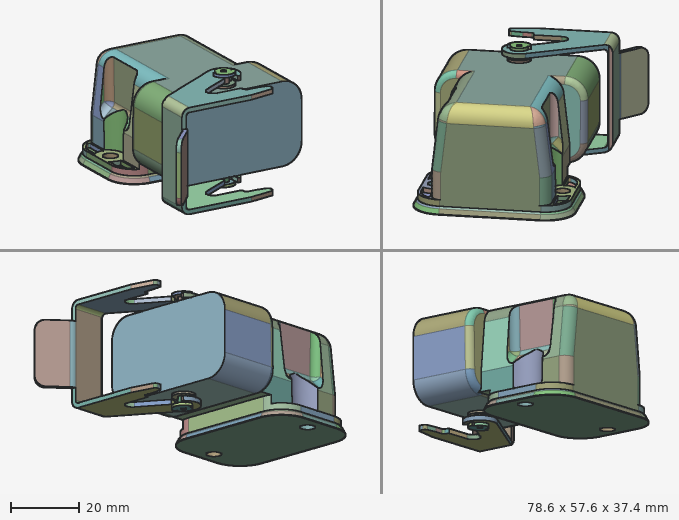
import cadquery as cq
import math


overall_length = 78.6
overall_height = 37.4

flange_length = 32.5
flange_width = 48.35
flange_corner_radius = 9.05
flange_foot_height = 0.2
flange_shoulder_height = 1.7
flange_taper_inset = 0.8
plate_length = 29.9
plate_width = 45.75
plate_corner_radius = 7.8
plate_bottom = 2.3
plate_top = 4.25

body_half_width = 17.85
body_top = 33.1
body_kink_height = 13.05
body_side_lean = math.radians(6.7)
body_corner_radius = 3.1
body_top_radius = 5.0
neck_bottom = 6.9

hood_width = 45.75
hood_bottom = 6.5
hood_corner_radius = 6.7
hood_end = 39.5
hood_back_bottom = 17.6
hood_back_top = 18.1
hood_back_radius = 2.0
neck_overlap = 5.5
neck_end = hood_back_top + neck_overlap

screw_offset = 18.95
screw_hole_radius = 2.3
relief_offset = 20.3
relief_radius = 5.9
relief_draft = math.radians(1.3)
relief_height = 15.7
recess_depth_y = 14.0
recess_half_width_top = 8.65
recess_half_width_bottom = 8.1
recess_back_bottom = 17.3
recess_floor_slope = math.radians(43.0)
recess_radius = 2.2
recess_clearance = 0.8
rim_pocket_inset = 0.95
rim_pocket_inner_y = 18.4
rim_pocket_depth = 1.5
rim_pocket_tip_radius = 0.4
screw_boss_radius = 5.0

pivot_x = 32.9
pivot_large_radius = 3.5
pivot_small_radius = 2.7
pivot_neck_radius = 1.7
washer_height = 0.7
head_height = 0.95
pivot_dimple_radius = 0.8
pivot_dimple_depth = 0.4
mid_height = (body_top + hood_bottom) / 2

lever_thickness = 1.5
lever_half_height = overall_height - head_height - mid_height
lever_bend_radius = 2.6
lever_inner_bend_radius = lever_bend_radius - lever_thickness
lever_front_y = -26.3
lever_left_x = 41.6
lever_right_x = 52.9
arm_angle = math.radians(60.0)
arm_eye_radius = 5.1
arm_inner_offset = 2.2
hook_end_offset = 3.8
eye_slot_top = 2.6
eye_slot_bottom = -1.7
throat_right_x = 46.3
throat_radius = 2.3
notch_y = -2.0
finger_base_y = -1.5
finger_base_x = 48.3
finger_side_y = 1.8
finger_tip_y = 6.1
finger_tip_left = 48.7
finger_tip_right = 51.4
finger_shoulder_y = -2.5
finger_tip_radius = 1.0
finger_base_radius = 0.8

tab_angle = math.radians(41.5)
tab_end_x = overall_length - flange_length / 2
tab_height = 20.5
tab_corner_radius = 3.15
tab_bend_reach = lever_bend_radius * math.sin(tab_angle)
tab_length = (tab_end_x - lever_right_x - tab_bend_reach) / math.cos(tab_angle)


def rounded_block(length, width, radius, bottom, top):
    """Upright block, centred on the Z axis, with rounded vertical edges."""
    block = cq.Workplane("XY").workplane(offset=bottom).rect(length, width).extrude(top - bottom)
    return block.edges("|Z").fillet(radius)


def make_flange():
    """Flange with a sloping rim and shoulder, carrying the narrower plate."""
    foot = rounded_block(flange_length, flange_width, flange_corner_radius, 0, flange_foot_height)
    taper_height = flange_shoulder_height - flange_foot_height
    taper = foot.faces(">Z").wires().toPending().extrude(
        taper_height, combine=False, taper=math.degrees(math.atan(flange_taper_inset / taper_height))
    )
    shoulder_inset = (flange_length - plate_length) / 2 - flange_taper_inset
    shoulder_height = plate_bottom - flange_shoulder_height
    shoulder = taper.faces(">Z").wires().toPending().extrude(
        shoulder_height, combine=False, taper=math.degrees(math.atan(shoulder_inset / shoulder_height))
    )
    plate = rounded_block(plate_length, plate_width, plate_corner_radius, plate_bottom, plate_top)
    return foot.union(taper).union(shoulder).union(plate)


def make_body():
    """Body with leaning sides; its foot follows the plate outline, its neck runs into the hood."""
    top_half_width = body_half_width - (body_top - body_kink_height) * math.tan(body_side_lean)
    section = [
        (-body_half_width, plate_bottom),
        (body_half_width, plate_bottom),
        (body_half_width, body_kink_height),
        (top_half_width, body_top),
        (-top_half_width, body_top),
        (-body_half_width, body_kink_height),
    ]
    back_x = -plate_length / 2
    body = cq.Workplane("YZ").workplane(offset=back_x).polyline(section).close().extrude(neck_end - back_x)
    body = body.faces(">Z").edges("not >X").fillet(body_top_radius)
    body = body.faces("<X").edges("not |Y").fillet(body_corner_radius)
    plate_column = rounded_block(plate_length, plate_width, plate_corner_radius, plate_bottom, neck_bottom)
    above_neck = cq.Workplane("XY").box(
        4 * plate_length, 2 * plate_width, body_top, centered=(True, True, False)
    ).translate((0, 0, neck_bottom))
    return body.intersect(plate_column.union(above_neck))


def make_hood():
    """Rounded hood whose back face leans slightly, with a rounded back rim."""
    side = [
        (hood_back_bottom, hood_bottom),
        (hood_end, hood_bottom),
        (hood_end, body_top),
        (hood_back_top, body_top),
    ]
    hood = cq.Workplane("XZ").polyline(side).close().extrude(hood_width / 2, both=True)
    hood = hood.edges("(|X) and (>Y or <Y)").fillet(hood_corner_radius)
    return hood.faces("<X").edges().fillet(hood_back_radius)


def make_recess():
    """Cutter for the -Y side: upright back wall, floor sloping down outwards, rounded inner edges."""
    outer_y = -plate_width / 2
    floor_end = recess_back_bottom - (-outer_y - recess_depth_y) * math.tan(recess_floor_slope)
    cutter_top = body_top + recess_clearance
    front = [
        (-recess_half_width_bottom, floor_end),
        (recess_half_width_bottom, floor_end),
        (recess_half_width_top, cutter_top),
        (-recess_half_width_top, cutter_top),
    ]
    side = [
        (outer_y, floor_end),
        (-recess_depth_y, recess_back_bottom),
        (-recess_depth_y, cutter_top),
        (outer_y, cutter_top),
    ]
    block = cq.Workplane("XZ").polyline(front).close().extrude(-outer_y)
    profile = cq.Workplane("YZ").polyline(side).close().extrude(plate_length / 2, both=True)
    cutter = block.intersect(profile)
    return cutter.edges("not (<Y or >Z)").fillet(recess_radius)


def make_relief():
    """Slightly widening round cutter that clears the screw head above the plate."""
    top_radius = relief_radius + relief_height * math.tan(relief_draft)
    return (
        cq.Workplane("XY", origin=(0, -relief_offset, plate_top))
        .circle(relief_radius)
        .workplane(offset=relief_height)
        .circle(top_radius)
        .loft()
    )


def make_rim_pockets():
    """Pair of shallow pockets in the plate, one each side of the screw boss."""
    floor = plate_top - rim_pocket_depth
    length = plate_length - 2 * rim_pocket_inset
    width = plate_width - 2 * rim_pocket_inset
    inside = rounded_block(length, width, plate_corner_radius - rim_pocket_inset, floor, plate_top)
    strip = cq.Workplane("XY").box(length, width, plate_top, centered=(True, False, False))
    pockets = inside.intersect(strip.translate((0, -rim_pocket_inner_y - width, floor)))
    boss = cq.Workplane("XY", origin=(0, -screw_offset, 0)).circle(screw_boss_radius).extrude(plate_top)
    return pockets.cut(boss).edges("|Z and (<X or >X)").fillet(rim_pocket_tip_radius)


def make_screw_side():
    """Everything removed around the -Y mounting screw."""
    hole = cq.Workplane("XY", origin=(0, -screw_offset, 0)).circle(screw_hole_radius).extrude(plate_top)
    return [make_recess(), make_relief(), make_rim_pockets(), hole]


def stepped_disc(back_radius, front_radius, bottom, height):
    """Disc on the pivot axis: one radius on its -X half, another on its +X half."""
    plane = cq.Workplane("XY", origin=(pivot_x, 0, bottom))
    if back_radius == front_radius:
        return plane.circle(back_radius).extrude(height)
    return (
        plane
        .moveTo(0, back_radius)
        .threePointArc((-back_radius, 0), (0, -back_radius))
        .lineTo(0, -front_radius)
        .threePointArc((front_radius, 0), (0, front_radius))
        .close()
        .extrude(height)
    )


def make_pivot():
    """Pivot on top of the hood: washer, shaft and keyed head with a centre dimple."""
    washer_top = body_top + washer_height
    head_bottom = overall_height - head_height
    washer = stepped_disc(pivot_large_radius, pivot_large_radius, body_top, washer_height)
    shaft = stepped_disc(pivot_small_radius, pivot_neck_radius, washer_top, head_bottom - washer_top)
    head = stepped_disc(pivot_small_radius, pivot_large_radius, head_bottom, head_height)
    dimple = (
        cq.Workplane("XY", origin=(pivot_x, 0, overall_height))
        .circle(pivot_dimple_radius)
        .extrude(-pivot_dimple_depth)
    )
    return washer.union(shaft).union(head).cut(dimple)


def make_lever_outline():
    """Solid of the full lever height, cut to the outline of its arms."""
    normal_x = math.sin(arm_angle)
    normal_y = math.cos(arm_angle)

    def arm_edge_y(x, offset):
        """Y on the arm edge lying at the given distance from the pivot."""
        return (offset - (x - pivot_x) * normal_x) / normal_y

    tangent_point = (pivot_x - arm_eye_radius * normal_x, -arm_eye_radius * normal_y)
    hook_end_x = pivot_x + hook_end_offset
    hook_end_y = math.sqrt(arm_eye_radius**2 - hook_end_offset**2)
    slot_mouth_x = pivot_x + (arm_inner_offset - eye_slot_bottom * normal_y) / normal_x
    throat_point = (throat_right_x, arm_edge_y(throat_right_x, arm_inner_offset))

    lever = (
        cq.Workplane("XY", origin=(0, 0, mid_height))
        .moveTo(lever_left_x, lever_front_y)
        .lineTo(lever_left_x, arm_edge_y(lever_left_x, -arm_eye_radius))
        .lineTo(*tangent_point)
        .threePointArc((pivot_x, arm_eye_radius), (hook_end_x, hook_end_y))
        .lineTo(hook_end_x, eye_slot_top)
        .lineTo(pivot_x, eye_slot_top)
        .lineTo(pivot_x, eye_slot_bottom)
        .lineTo(slot_mouth_x, eye_slot_bottom)
        .lineTo(*throat_point)
        .lineTo(throat_right_x, notch_y)
        .lineTo(finger_base_x, finger_base_y)
        .lineTo(finger_base_x, finger_side_y)
        .lineTo(finger_tip_left, finger_tip_y)
        .lineTo(finger_tip_right, finger_tip_y)
        .lineTo(lever_right_x, finger_shoulder_y)
        .lineTo(lever_right_x, lever_front_y)
        .close()
        .extrude(lever_half_height, both=True)
    )

    def corner(x, y):
        """Selector for the upright edge at the given outline corner."""
        return cq.selectors.NearestToPointSelector((x, y, mid_height))

    lever = lever.edges(corner(*throat_point)).fillet(throat_radius)
    lever = lever.edges(corner(finger_base_x, finger_base_y)).fillet(finger_base_radius)
    lever = lever.edges(corner(finger_tip_left, finger_tip_y)).fillet(finger_tip_radius)
    lever = lever.edges(corner(finger_tip_right, finger_tip_y)).fillet(finger_tip_radius)
    eye = cq.Workplane("XY", origin=(pivot_x, 0, mid_height)).circle(pivot_small_radius)
    return lever.cut(eye.extrude(lever_half_height, both=True))


def make_lever_bend():
    """U-shaped sheet open towards +Y that gives the lever its two arms and joining web."""

    def u_block(inset):
        """Block from the web inwards, shrunk by the inset on its web and arm sides."""
        block = cq.Workplane("XY").box(
            2 * lever_right_x, plate_width, 2 * (lever_half_height - inset), centered=(True, False, True)
        )
        block = block.edges("|X and <Y").fillet(lever_bend_radius - inset)
        return block.translate((0, lever_front_y + inset, mid_height))

    return u_block(0).cut(u_block(lever_thickness))


def make_tab():
    """Thumb tab bent outwards from the web, with rounded free corners."""
    sin_bend = math.sin(tab_angle)
    cos_bend = math.cos(tab_angle)
    bend_centre_y = lever_front_y - lever_inner_bend_radius

    def tab_point(radius, angle, along):
        """Point on the bend at the given radius and angle, moved along the straight tab."""
        x = lever_right_x + radius * math.sin(angle) + along * cos_bend
        return (x, bend_centre_y + radius * math.cos(angle) - along * sin_bend)

    def bend_arc(radius):
        """Start, middle and end points of one side of the bend."""
        return [tab_point(radius, angle, 0) for angle in (0, tab_angle / 2, tab_angle)]

    upper_start, upper_middle, upper_end = bend_arc(lever_bend_radius)
    lower_start, lower_middle, lower_end = bend_arc(lever_inner_bend_radius)
    tab = (
        cq.Workplane("XY", origin=(0, 0, mid_height))
        .moveTo(*upper_start)
        .threePointArc(upper_middle, upper_end)
        .lineTo(*tab_point(lever_bend_radius, tab_angle, tab_length))
        .lineTo(*tab_point(lever_inner_bend_radius, tab_angle, tab_length))
        .lineTo(*lower_end)
        .threePointArc(lower_middle, lower_start)
        .close()
        .extrude(tab_height / 2, both=True)
    )
    end_direction = cq.Vector(cos_bend, -sin_bend, 0)
    end_face = tab.faces(cq.selectors.DirectionMinMaxSelector(end_direction))
    return end_face.edges("not |Z").fillet(tab_corner_radius)


housing = make_flange().union(make_body()).union(make_hood())
for cutter in make_screw_side():
    housing = housing.cut(cutter).cut(cutter.mirror("XZ"))

pivot = make_pivot()
lower_pivot = pivot.mirror("XY", (0, 0, mid_height))
lever = make_lever_outline().intersect(make_lever_bend()).union(make_tab())

result = housing.union(pivot).union(lower_pivot).union(lever)